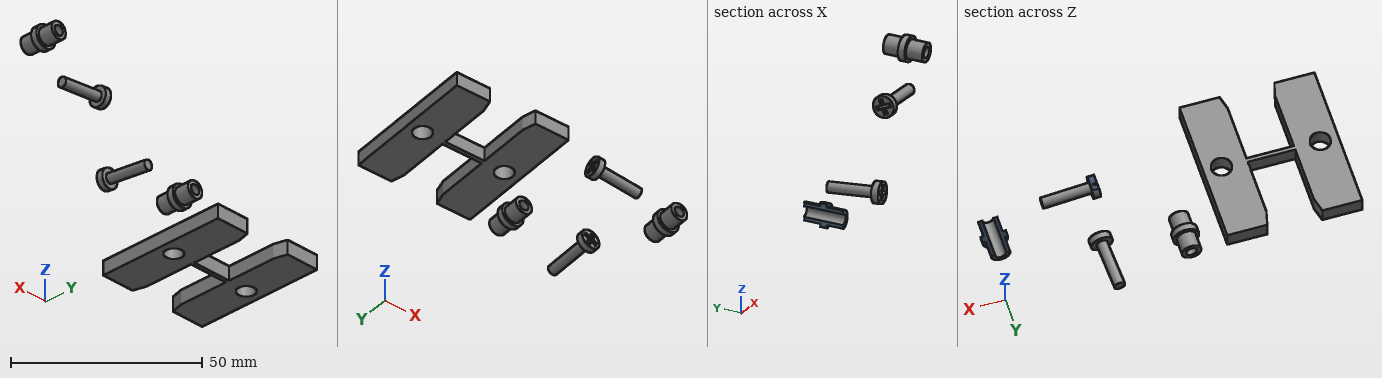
import cadquery as cq
import math

PLATE_WIDTH = 37.0
PLATE_LENGTH = 42.0
PLATE_THICKNESS = 4.5
BAR_WIDTH = 12.0
TAPER_WIDTH = 1.0
TAPER_LENGTH = 4.0
WEB_THICKNESS = 1.2
PLATE_HOLE_DIAMETER = 5.5
HOLE_EDGE_DISTANCE = 5.0

SPACER_LENGTH = 11.4
SPACER_DIAMETER = 5.3
FLANGE_DIAMETER = 7.0
FLANGE_WIDTH = 2.0
SPACER_BORE = 3.0
SPACER_CENTRES = [(47.3, 37.9, 3.7), (100.1, 39.8, 29.0)]

SCREW_LENGTH = 15.3
SHANK_DIAMETER = 3.0
HEAD_DIAMETER = 6.0
HEAD_HEIGHT = 2.0
RECESS_SPAN = 4.1
RECESS_ARM_WIDTH = 1.0
RECESS_DEPTH = 1.0

SIDE_SCREW_FACE = (69.2, 31.4, 27.2)
SIDE_SCREW_DROP = 5.5
SIDE_SCREW_ROLL = -25
BACK_SCREW_FACE = (68.7, 31.4, 2.5)
BACK_SCREW_DROP = 4.6
BACK_SCREW_SWING = 3.1
BACK_SCREW_ROLL = 25


def make_bar():
    """Bar on the left, with both inner corners tapered and a through hole."""
    outline = [
        (0, 0),
        (BAR_WIDTH - TAPER_WIDTH, 0),
        (BAR_WIDTH, TAPER_LENGTH),
        (BAR_WIDTH, PLATE_LENGTH - TAPER_LENGTH),
        (BAR_WIDTH - TAPER_WIDTH, PLATE_LENGTH),
        (0, PLATE_LENGTH),
    ]
    bar = cq.Workplane("XY").polyline(outline).close().extrude(PLATE_THICKNESS)
    hole = (
        cq.Workplane("XY")
        .center(HOLE_EDGE_DISTANCE, PLATE_LENGTH / 2)
        .circle(PLATE_HOLE_DIAMETER / 2)
        .extrude(PLATE_THICKNESS)
    )
    return bar.cut(hole)


def make_plate():
    left_bar = make_bar()
    right_bar = left_bar.mirror("YZ").translate((PLATE_WIDTH, 0, 0))
    web = (
        cq.Workplane("XY")
        .center(PLATE_WIDTH / 2, PLATE_LENGTH / 2)
        .rect(PLATE_WIDTH - 2 * BAR_WIDTH, WEB_THICKNESS)
        .extrude(PLATE_THICKNESS)
    )
    return left_bar.union(web).union(right_bar)


def make_cylinder_along_y(centre, diameter, length):
    """Cylinder of the given length, centred on a point."""
    x, y, z = centre
    end_face = cq.Workplane("XZ", origin=(x, y + length / 2, z))
    return end_face.circle(diameter / 2).extrude(length)


def make_spacer(centre):
    tube = make_cylinder_along_y(centre, SPACER_DIAMETER, SPACER_LENGTH)
    flange = make_cylinder_along_y(centre, FLANGE_DIAMETER, FLANGE_WIDTH)
    bore = make_cylinder_along_y(centre, SPACER_BORE, SPACER_LENGTH)
    return tube.union(flange).cut(bore)


def make_screw(face_centre, direction, roll):
    """Screw running from its head face along direction, with the recess rolled about its axis."""
    level = cq.Vector(0, 0, 1).cross(cq.Vector(*direction))
    face = cq.Workplane(cq.Plane(origin=face_centre, xDir=level, normal=direction))
    head = face.circle(HEAD_DIAMETER / 2).extrude(HEAD_HEIGHT)
    shank = face.circle(SHANK_DIAMETER / 2).extrude(SCREW_LENGTH)
    screw = head.union(shank)
    for arm_angle in (roll, roll + 90):
        arm = face.transformed(rotate=(0, 0, arm_angle))
        screw = screw.cut(arm.rect(RECESS_SPAN, RECESS_ARM_WIDTH).extrude(RECESS_DEPTH))
    return screw


side_direction = (1, 0, -math.tan(math.radians(SIDE_SCREW_DROP)))
back_direction = (
    -math.tan(math.radians(BACK_SCREW_SWING)),
    1,
    -math.tan(math.radians(BACK_SCREW_DROP)),
)

plate = make_plate()
spacers = [make_spacer(centre) for centre in SPACER_CENTRES]
screws = [
    make_screw(SIDE_SCREW_FACE, side_direction, SIDE_SCREW_ROLL),
    make_screw(BACK_SCREW_FACE, back_direction, BACK_SCREW_ROLL),
]

result = cq.Compound.makeCompound([body.val() for body in [plate, *spacers, *screws]])